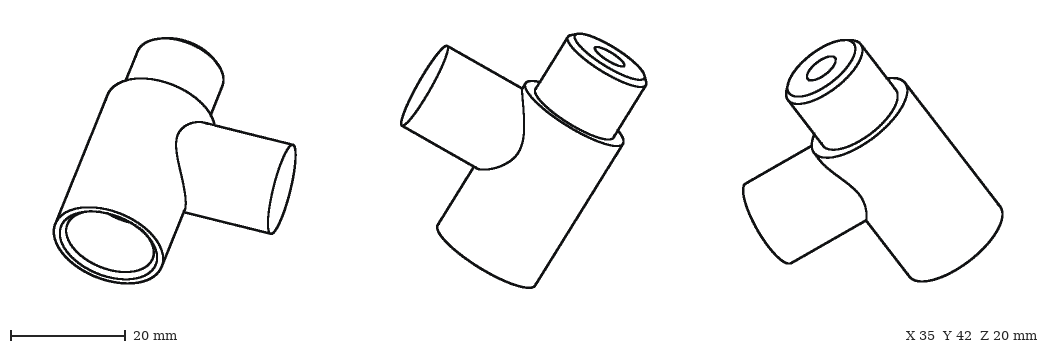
import cadquery as cq

body_diameter = 20.0
body_length = 30.0

spigot_diameter = 16.0
spigot_length = 12.0

socket_diameter = spigot_diameter
socket_depth = spigot_length

chamfer = 0.9

bore_diameter = 6.0

branch_diameter = spigot_diameter
branch_reach = 25.0
branch_y = 21.0

total_length = body_length + spigot_length


def make_run():
    """Revolve the body, spigot, socket and bore about the Y axis."""
    body_radius = body_diameter / 2
    spigot_radius = spigot_diameter / 2
    socket_radius = socket_diameter / 2
    bore_radius = bore_diameter / 2
    profile = [
        (socket_radius + chamfer, 0),
        (body_radius, 0),
        (body_radius, body_length),
        (spigot_radius, body_length),
        (spigot_radius, total_length - chamfer),
        (spigot_radius - chamfer, total_length),
        (bore_radius, total_length),
        (bore_radius, socket_depth),
        (socket_radius, socket_depth),
        (socket_radius, chamfer),
    ]
    return cq.Workplane("XY").polyline(profile).close().revolve(360, (0, 0, 0), (0, 1, 0))


def make_branch():
    """Solid branch starting inside the thick part of the body, clear of the bore."""
    branch_start = body_diameter / 4
    return (
        cq.Workplane("YZ", origin=(branch_start, branch_y, 0))
        .circle(branch_diameter / 2)
        .extrude(branch_reach - branch_start)
    )


result = make_run().union(make_branch())